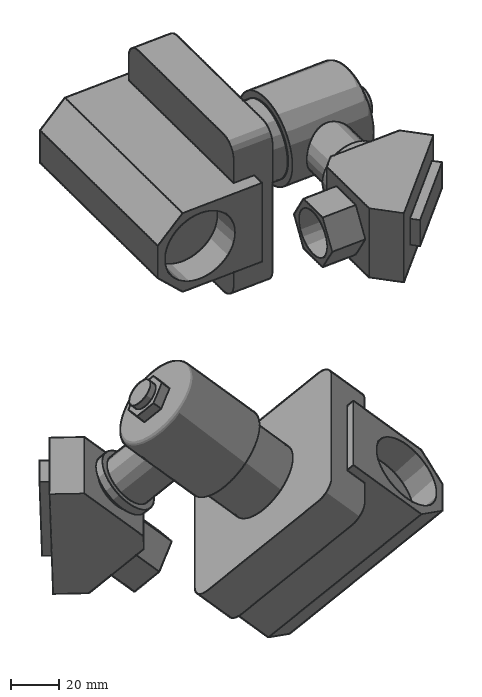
import cadquery as cq
import math


block_left = -44.9
block_length = 92.0
block_depth = 50.8
block_height = 41.2
block_chamfer = 12.1
port_diameter = 34.1
port_depth = 13.8
port_y = block_height / 2
flange_size = 82.0
flange_front = 40.7
flange_back = 59.7
flange_corner_radius = 8.0
stem_diameter = 35.9
stem_end = 81.4

collar_thickness = 0.4
coil_diameter = 42.4
coil_start = stem_end + collar_thickness
coil_end = 122.5
coil_fillet = 2.5
nut_across_corners = 20.1
nut_end = 126.9
stud_diameter = 12.8
stud_end = 130.0
arm_y = 100.8
arm_diameter = 24.1
arm_end = 37.7

ring_diameter = 29.5
ring_end = 41.6
neck_diameter = 21.8
head_left = 44.3
head_right = 92.8
head_front = 81.0
head_height = 36.2
head_tip_y = 91.4
head_peak_rise = 38.3
head_peak_x = head_right - head_peak_rise
head_peak_y = head_tip_y + head_peak_rise
head_front_chamfer = 5.0
lid_inset = 2.8
lid_length = 40.2
lid_thickness = 4.3
lid_width = 13.6
gland_x = 64.4
gland_across_corners = 30.0
gland_length = 16.1
gland_bore = 21.9


def along_y(x, start):
    """Workplane normal to +Y, centred on (x, Z = 0)."""
    return cq.Workplane(cq.Plane(origin=(x, start, 0), xDir=(1, 0, 0), normal=(0, 1, 0)))


def along_x(start, y):
    """Workplane normal to +X, centred on (y, Z = 0)."""
    return cq.Workplane(cq.Plane(origin=(start, y, 0), xDir=(0, 1, 0), normal=(1, 0, 0)))


def cylinder_y(diameter, start, end, x=0):
    return along_y(x, start).circle(diameter / 2).extrude(end - start)


def cylinder_x(diameter, start, end, y):
    return along_x(start, y).circle(diameter / 2).extrude(end - start)


def make_valve_body():
    half_height = block_height / 2
    block = along_x(block_left, 0).polyline([
        (0, -half_height + block_chamfer),
        (block_chamfer, -half_height),
        (block_depth, -half_height),
        (block_depth, half_height),
        (block_chamfer, half_height),
        (0, half_height - block_chamfer),
    ]).close().extrude(block_length)
    flange = along_y(0, flange_front).rect(flange_size, flange_size).extrude(flange_back - flange_front)
    flange = flange.edges("|Y").fillet(flange_corner_radius)
    stem = cylinder_y(stem_diameter, flange_back, stem_end)
    body = block.union(flange).union(stem)
    block_right = block_left + block_length
    for port_start in (block_left, block_right - port_depth):
        body = body.cut(cylinder_x(port_diameter, port_start, port_start + port_depth, port_y))
    return body


def make_coil():
    shell = cylinder_y(coil_diameter, coil_start, coil_end)
    shell = shell.faces(">Y").edges().fillet(coil_fillet)
    collar = cylinder_y(stem_diameter, stem_end, coil_start)
    nut = along_y(0, coil_end).polygon(6, nut_across_corners).extrude(nut_end - coil_end)
    stud = cylinder_y(stud_diameter, nut_end, stud_end)
    arm = cylinder_x(arm_diameter, 0, arm_end, arm_y)
    return shell.union(collar).union(nut).union(stud).union(arm)


def make_head():
    """Angled housing with its long face at 45 degrees, towards +X and +Y."""
    peak_chamfer = head_peak_x - head_left
    tip_chamfer = head_tip_y - head_front
    outline = [
        (head_left, head_front + head_front_chamfer),
        (head_left, head_peak_y - peak_chamfer),
        (head_peak_x, head_peak_y),
        (head_right, head_tip_y),
        (head_right - tip_chamfer, head_front),
        (head_left + head_front_chamfer, head_front),
    ]
    return cq.Workplane("XY").polyline(outline).close().extrude(head_height / 2, both=True)


def make_lid():
    """Narrow bar lying on the long face, lid_inset from the peak."""
    lid_middle = (lid_inset + lid_length / 2) * math.sqrt(0.5)
    lid_origin = (head_peak_x + lid_middle, head_peak_y - lid_middle, 0)
    plane = cq.Plane(origin=lid_origin, xDir=(1, -1, 0), normal=(1, 1, 0))
    return cq.Workplane(plane).rect(lid_length, lid_width).extrude(lid_thickness)


def make_connector():
    ring = cylinder_x(ring_diameter, arm_end, ring_end, arm_y)
    neck = cylinder_x(neck_diameter, ring_end, head_left, arm_y)
    gland_start = head_front - gland_length
    gland = along_y(gland_x, gland_start).polygon(6, gland_across_corners).extrude(gland_length)
    gland = gland.cut(cylinder_y(gland_bore, gland_start, head_front, gland_x))
    return make_head().union(make_lid()).union(ring).union(neck).union(gland)


valve_body = make_valve_body()
coil = make_coil()
connector = make_connector()

result = cq.Compound.makeCompound([valve_body.val(), coil.val(), connector.val()])